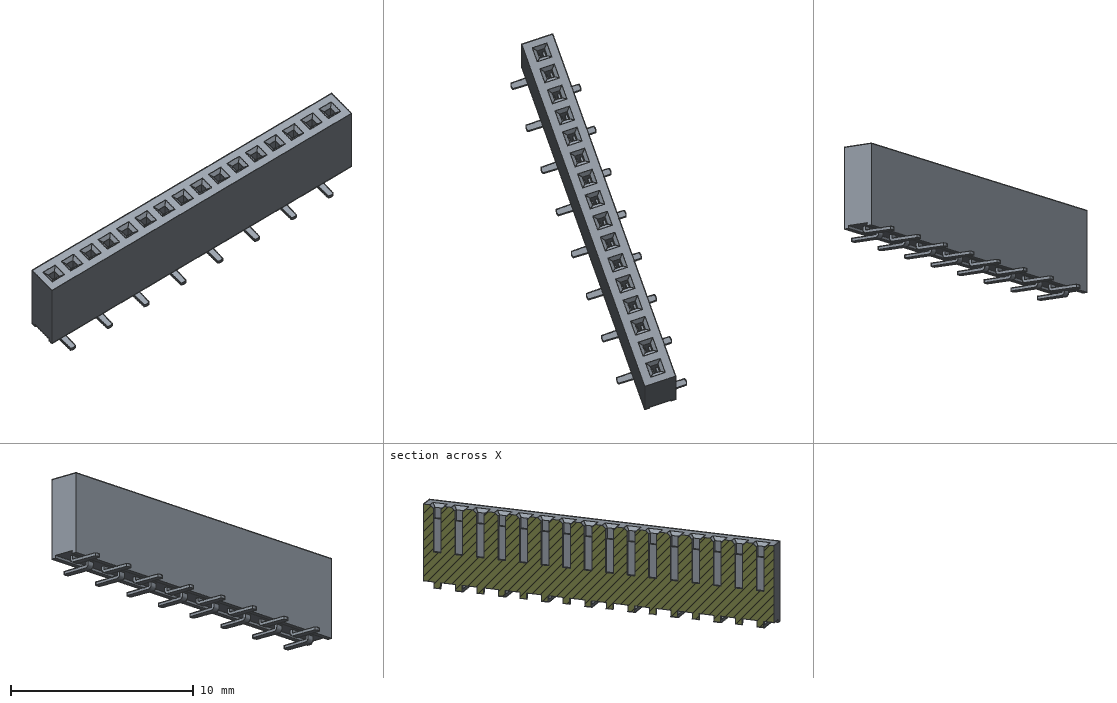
import cadquery as cq

PIN_COUNT = 16
PITCH = 1.27
PIN_SPAN = 3.58
OVERALL_LENGTH = 20.67
OVERALL_HEIGHT = 4.83

BODY_WIDTH = 1.8
BODY_BOTTOM = 0.23
CHANNEL_WIDTH = 1.24
CHANNEL_ROOF = 0.39

MOUTH_SIZE = 0.84
WELL_SIZE = 0.43
MOUTH_DEPTH = 0.19
WELL_DEPTH = 2.5

LEAF_THICKNESS = 0.13
LEAF_TOP_GAP = 0.6

PIN_THICKNESS = 0.17
STEM_WIDTH = 0.41
TAIL_TIP_WIDTH = 0.34
STEM_EMBED = 0.2
TAIL_NOSE_LENGTH = 0.04
BEND_INNER_RADIUS = 0.04


def make_housing():
    """Rectangular block with a full-length channel leaving a foot along each side."""
    height = OVERALL_HEIGHT - BODY_BOTTOM
    block = (
        cq.Workplane("XY", origin=(0, 0, BODY_BOTTOM))
        .box(BODY_WIDTH, OVERALL_LENGTH, height, centered=(True, True, False))
    )
    channel = cq.Workplane("XY").box(
        CHANNEL_WIDTH, OVERALL_LENGTH, CHANNEL_ROOF, centered=(True, True, False)
    )
    return block.cut(channel)


def make_socket(y):
    """Void of one socket, with the two contact leaves left standing in the well."""
    mouth_floor = OVERALL_HEIGHT - MOUTH_DEPTH
    mouth = (
        cq.Workplane("XY", origin=(0, y, OVERALL_HEIGHT))
        .rect(MOUTH_SIZE, MOUTH_SIZE)
        .workplane(offset=-MOUTH_DEPTH)
        .rect(WELL_SIZE, WELL_SIZE)
        .loft(ruled=True)
    )
    well = (
        cq.Workplane("XY", origin=(0, y, mouth_floor))
        .rect(WELL_SIZE, WELL_SIZE)
        .extrude(-WELL_DEPTH)
    )
    leaf_offset = (WELL_SIZE - LEAF_THICKNESS) / 2
    leaves = (
        cq.Workplane("XY", origin=(0, y, mouth_floor - LEAF_TOP_GAP))
        .pushPoints([(-leaf_offset, 0), (leaf_offset, 0)])
        .rect(LEAF_THICKNESS, WELL_SIZE)
        .extrude(-(WELL_DEPTH - LEAF_TOP_GAP))
    )
    return mouth.union(well.cut(leaves))


def make_pin(y, side):
    """L-shaped pin at y with a tapered, round-nosed tail along side (-1 or +1) in X."""
    half = PIN_THICKNESS / 2
    tip = PIN_SPAN / 2
    nose_start = tip - TAIL_NOSE_LENGTH
    top = CHANNEL_ROOF + STEM_EMBED
    outer_radius = PIN_THICKNESS + BEND_INNER_RADIUS
    bend_x = half + BEND_INNER_RADIUS
    profile = (
        cq.Workplane("XZ", origin=(0, y + STEM_WIDTH / 2, 0))
        .moveTo(-side * half, top)
        .lineTo(-side * half, outer_radius)
        .radiusArc((side * bend_x, 0), -side * outer_radius)
        .lineTo(side * tip, 0)
        .lineTo(side * tip, PIN_THICKNESS)
        .lineTo(side * bend_x, PIN_THICKNESS)
        .radiusArc((side * half, outer_radius), side * BEND_INNER_RADIUS)
        .lineTo(side * half, top)
        .close()
        .extrude(STEM_WIDTH)
    )
    outline = (
        cq.Workplane("XY", origin=(0, y, 0))
        .moveTo(-side * half, -STEM_WIDTH / 2)
        .lineTo(side * half, -STEM_WIDTH / 2)
        .lineTo(side * nose_start, -TAIL_TIP_WIDTH / 2)
        .threePointArc((side * tip, 0), (side * nose_start, TAIL_TIP_WIDTH / 2))
        .lineTo(side * half, STEM_WIDTH / 2)
        .lineTo(-side * half, STEM_WIDTH / 2)
        .close()
        .extrude(top)
    )
    return profile.intersect(outline)


result = make_housing()
for index in range(PIN_COUNT):
    pin_y = (index - (PIN_COUNT - 1) / 2) * PITCH
    tail_side = 1 if index % 2 == 0 else -1
    result = result.cut(make_socket(pin_y)).union(make_pin(pin_y, tail_side))